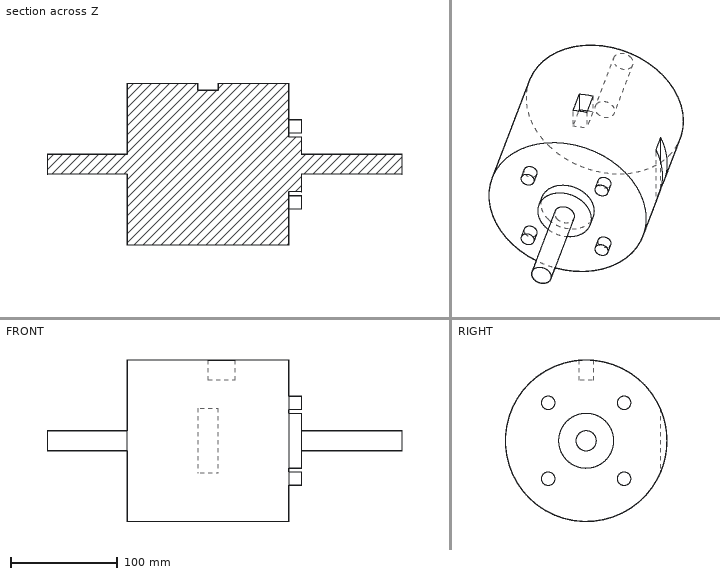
import cadquery as cq

total_length = 334.3
body_length = 152.5
body_diameter = 152.5
shaft_diameter = 19.0
left_shaft_length = 75.2
boss_diameter = 51.8
boss_length = 12.0
pin_diameter = 12.7
pin_offset = 35.8
window_length = 25.5
window_width = 13.5
window_depth = 19.0
notch_width = 19.0
notch_depth = 6.5

body_radius = body_diameter / 2
body_left = -body_length / 2
body_right = body_length / 2
shaft_left = body_left - left_shaft_length


def cylinder_along_x(start, length, diameter, y=0, z=0):
    """Round bar running from start in the +X direction."""
    return cq.Workplane("YZ", origin=(start, y, z)).circle(diameter / 2).extrude(length)


def top_window():
    """Blind rectangular pocket in the top, starting at the middle of the body."""
    return cq.Workplane("XY").box(
        window_length, window_width, window_depth, centered=(False, True, False)
    ).translate((0, 0, body_radius - window_depth))


def side_notch():
    """Flat-bottomed notch across the +Y side, centred along the body."""
    return cq.Workplane("XY").box(
        notch_width, notch_depth, body_diameter, centered=(True, False, True)
    ).translate((0, body_radius - notch_depth, 0))


body = cylinder_along_x(body_left, body_length, body_diameter)
body = body.cut(top_window()).cut(side_notch())

result = body.union(cylinder_along_x(shaft_left, total_length, shaft_diameter))
result = result.union(cylinder_along_x(body_right, boss_length, boss_diameter))

for y_side in (-1, 1):
    for z_side in (-1, 1):
        pin = cylinder_along_x(
            body_right, boss_length, pin_diameter, y_side * pin_offset, z_side * pin_offset
        )
        result = result.union(pin)